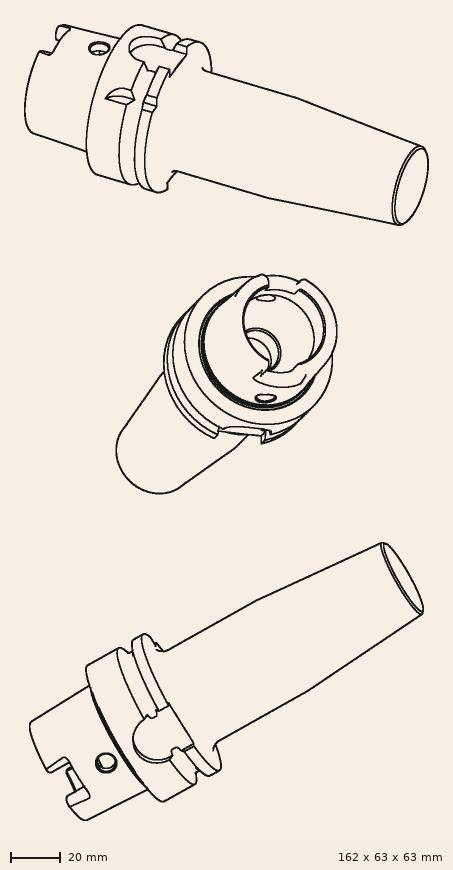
import cadquery as cq
import math


shank_length = 32.0
shank_end_radius = 22.8
shank_base_radius = 24.1
shank_end_rounding = 1.2

undercut_start = -2.2
undercut_end = -0.7
undercut_depth = 0.3
undercut_slope = 0.5
face_groove_radius = 25.4
face_groove_floor_radius = 25.0
face_groove_depth = 0.8

flange_radius = 31.5
flange_width = 26.0
groove_centre = 18.0
groove_floor_radius = 27.6
groove_floor_width = 3.3
groove_floor_fillet = 1.1
groove_mouth_width = 6.9

nose_radius = 21.0
neck_fillet = 6.0
nose_end = 130.0
nose_tip_radius = 16.5
nose_cone_angle = 4.5
nose_tip_chamfer = 0.8

bore_radius = 17.0
bore_chamfer = 0.6
bore_straight_depth = 12.5
chamber_radius = 19.5
chamber_cone_angle = 60.0
chamber_floor_fillet = 4.1
bore_depth = 32.0
pilot_radius = 8.8
pilot_depth = 10.0
pilot_chamfer = 0.7

drive_half_width = 6.27
drive_corner_radius = 3.0
drive_lug_height = 20.85
drive_floor_fillet = 1.3
upper_drive_depth = 6.0
lower_drive_depth = 10.0

cross_hole_x = -9.1
cross_hole_radius = 3.75
cross_hole_chamfer = 0.5

keyway_floor = 26.5
keyway_start = 5.0
upper_keyway_width = 16.2
lower_keyway_width = 20.0
notch_offset = 20.0
notch_start = 4.2
notch_radius = 8.0


def make_body():
    """Solid of revolution without the bore."""
    cone_length = (nose_radius - nose_tip_radius) / math.tan(math.radians(nose_cone_angle))
    fillet_mid = neck_fillet * (1 - math.sqrt(0.5))
    undercut_radius = shank_base_radius - undercut_depth
    profile = (
        cq.Workplane("XY")
        .moveTo(-shank_length, 0)
        .lineTo(-shank_length, shank_end_radius)
        .lineTo(undercut_start, shank_base_radius)
        .lineTo(undercut_start + undercut_slope, undercut_radius)
        .lineTo(undercut_end - undercut_slope, undercut_radius)
        .lineTo(undercut_end, shank_base_radius)
        .lineTo(face_groove_depth, shank_base_radius)
        .lineTo(face_groove_depth, face_groove_floor_radius)
        .lineTo(0, face_groove_radius)
        .lineTo(0, flange_radius)
        .lineTo(groove_centre - groove_mouth_width / 2, flange_radius)
        .lineTo(groove_centre - groove_floor_width / 2, groove_floor_radius)
        .lineTo(groove_centre + groove_floor_width / 2, groove_floor_radius)
        .lineTo(groove_centre + groove_mouth_width / 2, flange_radius)
        .lineTo(flange_width, flange_radius)
        .lineTo(flange_width, nose_radius + neck_fillet)
        .threePointArc(
            (flange_width + fillet_mid, nose_radius + fillet_mid),
            (flange_width + neck_fillet, nose_radius),
        )
        .lineTo(nose_end - cone_length, nose_radius)
        .lineTo(nose_end, nose_tip_radius)
        .lineTo(nose_end, 0)
        .close()
    )
    body = profile.revolve(360, (0, 0, 0), (1, 0, 0))
    groove_floor = cq.selectors.BoxSelector(
        (groove_centre - groove_floor_width, -flange_radius, -flange_radius),
        (groove_centre + groove_floor_width, flange_radius, flange_radius),
    )
    groove_corners = cq.selectors.RadiusNthSelector(0)
    body = body.edges(groove_floor).edges("%CIRCLE").edges(groove_corners).fillet(groove_floor_fillet)
    body = body.faces("<X").edges().fillet(shank_end_rounding)
    return body.faces(">X").chamfer(nose_tip_chamfer)


def make_bore():
    """Clamping bore: straight mouth, cone widening to a chamber with a filleted floor, blind pilot hole."""
    mouth = -shank_length
    floor = mouth + bore_depth
    cone_start = mouth + bore_straight_depth
    cone_length = (chamber_radius - bore_radius) / math.tan(math.radians(chamber_cone_angle))
    fillet_rise = chamber_floor_fillet * math.sqrt(0.5)
    fillet_x = floor - chamber_floor_fillet
    floor_radius = chamber_radius - chamber_floor_fillet
    return (
        cq.Workplane("XY")
        .moveTo(mouth, 0)
        .lineTo(mouth, bore_radius + bore_chamfer)
        .lineTo(mouth + bore_chamfer, bore_radius)
        .lineTo(cone_start, bore_radius)
        .lineTo(cone_start + cone_length, chamber_radius)
        .lineTo(fillet_x, chamber_radius)
        .threePointArc(
            (fillet_x + fillet_rise, floor_radius + fillet_rise),
            (floor, floor_radius),
        )
        .lineTo(floor, pilot_radius + pilot_chamfer)
        .lineTo(floor + pilot_chamfer, pilot_radius)
        .lineTo(floor + pilot_depth, pilot_radius)
        .lineTo(floor + pilot_depth, 0)
        .close()
        .revolve(360, (0, 0, 0), (1, 0, 0))
    )


def make_lug(side, depth):
    """Round-shouldered lug beside a driving slot, with its end edges rounded; side is +1 or -1 in Y."""
    shoulder = drive_half_width + drive_corner_radius
    arc_start = drive_lug_height - drive_corner_radius
    arc_mid = (
        side * (shoulder - drive_corner_radius * math.sqrt(0.5)),
        arc_start + drive_corner_radius * math.sqrt(0.5),
    )
    lug = (
        cq.Workplane("YZ", origin=(-shank_length, 0, 0))
        .moveTo(side * drive_half_width, 0)
        .lineTo(side * drive_half_width, arc_start)
        .threePointArc(arc_mid, (side * shoulder, drive_lug_height))
        .lineTo(side * flange_radius, drive_lug_height)
        .lineTo(side * flange_radius, 0)
        .close()
        .extrude(depth)
    )
    shoulder_arc = lug.faces("<X").edges("%CIRCLE")
    return shoulder_arc.fillet(shank_end_rounding)


def make_drive_slot(depth):
    """Cutter for the slot towards +Z: the space around its two lugs, with filleted floor corners."""
    slot = cq.Workplane("XY", origin=(-shank_length, 0, 0)).box(
        depth, 2 * flange_radius, flange_radius, centered=(False, True, False)
    )
    for side in (1, -1):
        slot = slot.cut(make_lug(side, depth))
    return slot.faces(">X").edges().fillet(drive_floor_fillet)


def make_keyway(width):
    """Round-ended keyway towards +Z, running out of the nose side of the flange."""
    radius = width / 2
    centre = keyway_start + radius
    return (
        cq.Workplane("XY", origin=(0, 0, keyway_floor))
        .moveTo(centre, radius)
        .threePointArc((keyway_start, 0), (centre, -radius))
        .lineTo(flange_width, -radius)
        .lineTo(flange_width, radius)
        .close()
        .extrude(flange_radius)
    )


def make_notch():
    """Square-cornered notch in the -Y, +Z quadrant with a round end."""
    centre = notch_start + notch_radius
    return (
        cq.Workplane("XY", origin=(0, 0, notch_offset))
        .moveTo(flange_width, -notch_offset)
        .lineTo(centre, -notch_offset)
        .threePointArc(
            (notch_start, -notch_offset - notch_radius),
            (centre, -notch_offset - 2 * notch_radius),
        )
        .lineTo(flange_width, -notch_offset - 2 * notch_radius)
        .close()
        .extrude(flange_radius)
    )


def turned_over(shape):
    """Half a turn about the tool axis, from +Z to -Z."""
    return shape.rotate((0, 0, 0), (1, 0, 0), 180)


def cut_cross_hole(part):
    """Drill through both shank walls and chamfer the outer rims."""
    drill = (
        cq.Workplane("XY", origin=(cross_hole_x, 0, 0))
        .circle(cross_hole_radius)
        .extrude(flange_radius, both=True)
    )
    drilled = part.cut(drill)
    for side in (1, -1):
        rim = cq.selectors.BoxSelector(
            (cross_hole_x - cross_hole_radius, -cross_hole_radius, side * shank_end_radius),
            (cross_hole_x + cross_hole_radius, cross_hole_radius, side * flange_radius),
        )
        drilled = drilled.edges(rim).chamfer(cross_hole_chamfer)
    return drilled


result = make_body().cut(make_bore())
result = result.cut(make_drive_slot(upper_drive_depth))
result = result.cut(turned_over(make_drive_slot(lower_drive_depth)))
result = cut_cross_hole(result)
result = result.cut(make_keyway(upper_keyway_width))
result = result.cut(turned_over(make_keyway(lower_keyway_width)))
result = result.cut(make_notch())